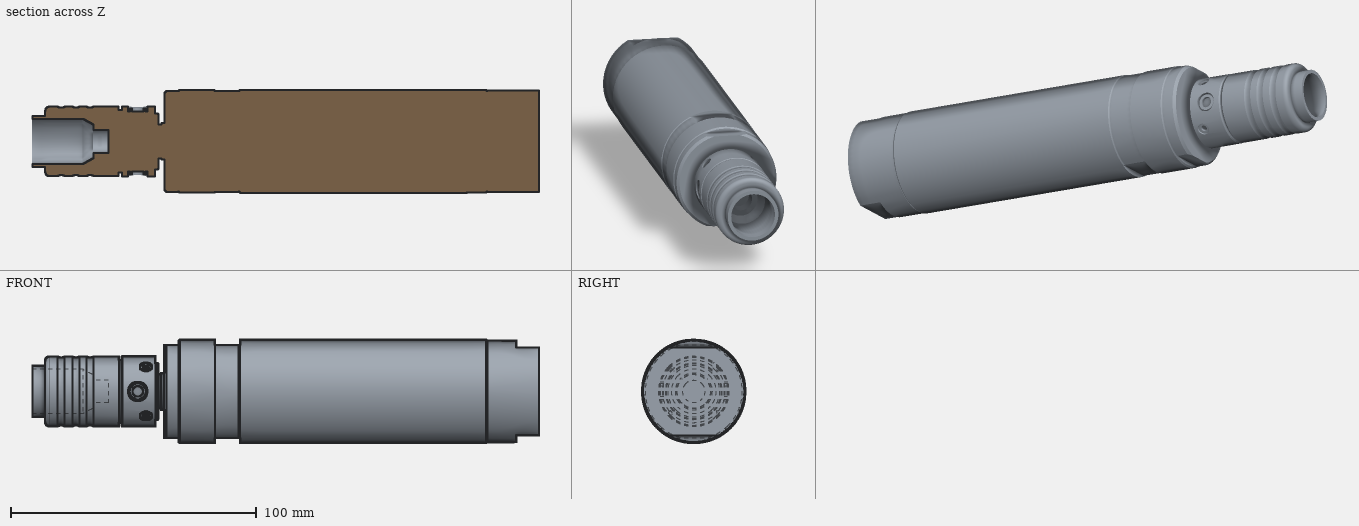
import cadquery as cq
import math

total_length = 206.2

nose_diameter = 21.0
nose_length = 5.2
sleeve_diameter = 28.5
sleeve_end = 35.3
sleeve_round = 1.9
grip_groove_starts = [10.3, 16.3, 22.0]
grip_groove_width = 2.9
grip_groove_depth = 0.5
cut_margin = 2.0
gap_diameter = 25.5
collar_start = 36.3
collar_diameter = 28.7
collar_chamfer = 0.5
collar_end = 50.1
disc_diameter = 23.0
disc_end = 51.3
neck_diameter = 14.0
neck_end = 52.4
shoulder_diameter = 15.0

bore_diameter = 18.1
bore_depth = 24.7
cone_depth = 4.1
cone_end_diameter = 13.6
pin_hole_diameter = 9.0
pin_hole_depth = 6.2

side_screw_x = 42.9
side_screw_hole = 7.8
side_screw_head_diameter = 6.5
side_screw_socket = 4.3
diagonal_screw_x = 46.2
diagonal_screw_diameter = 5.0
diagonal_screw_socket = 2.5
screw_sink = 0.8
socket_depth = 2.0

body_diameter = 42.0
flange_diameter = 41.5
edge_chamfer = 0.6
flange_chamfer = 1.0
body_start = 53.6
front_band_start = 59.4
front_flat_start = 74.2
front_flat_end = 84.5
barrel_start = front_flat_end - edge_chamfer
rear_band_end = 185.2
rear_flat_start = 197.0
front_flat_width = 38.0
rear_flat_width = 35.9


def cylinder(start, end, diameter):
    """Solid cylinder along X between two stations."""
    return cq.Workplane("YZ", origin=(start, 0, 0)).circle(diameter / 2).extrude(end - start)


def plug():
    nose = cylinder(0, nose_length, nose_diameter)
    sleeve = cylinder(nose_length, sleeve_end, sleeve_diameter).faces("<X").edges().fillet(sleeve_round)
    gap = cylinder(sleeve_end, collar_start, gap_diameter)
    collar = cylinder(collar_start, collar_end, collar_diameter).faces("<X").chamfer(collar_chamfer)
    disc = cylinder(collar_end, disc_end, disc_diameter).faces(">X").chamfer(collar_chamfer)
    neck = cylinder(disc_end, neck_end, neck_diameter)
    shoulder = cylinder(neck_end, body_start, shoulder_diameter)
    return nose.union(sleeve).union(gap).union(collar).union(disc).union(neck).union(shoulder)


def grip_groove(start):
    """Ring with an arc-shaped section that hollows the sleeve surface."""
    radius = sleeve_diameter / 2
    end = start + grip_groove_width
    middle = (start + end) / 2
    return (
        cq.Workplane("XY")
        .moveTo(start, radius)
        .threePointArc((middle, radius - grip_groove_depth), (end, radius))
        .lineTo(end, radius + cut_margin)
        .lineTo(start, radius + cut_margin)
        .close()
        .revolve(360, (0, 0, 0), (1, 0, 0))
    )


def plug_socket():
    """Bore with a tapered floor and a small centre hole."""
    cone_start = bore_depth - cone_depth
    pin_end = bore_depth + pin_hole_depth
    return (
        cq.Workplane("XY")
        .polyline([
            (0, 0),
            (0, bore_diameter / 2),
            (cone_start, bore_diameter / 2),
            (bore_depth, cone_end_diameter / 2),
            (bore_depth, pin_hole_diameter / 2),
            (pin_end, pin_hole_diameter / 2),
            (pin_end, 0),
        ])
        .close()
        .revolve(360, (0, 0, 0), (1, 0, 0))
    )


def screw_recess(x, angle, diameter, depth):
    """Radial cut in the collar; an angle of 0 points along +Y, 90 along +Z."""
    outward = cq.Vector(0, math.cos(math.radians(angle)), math.sin(math.radians(angle)))
    floor = collar_diameter / 2 - depth
    origin = cq.Vector(x, 0, 0) + outward * floor
    plane = cq.Plane(origin=origin, xDir=(1, 0, 0), normal=outward)
    return cq.Workplane(plane).circle(diameter / 2).extrude(depth + cut_margin)


def side_screw_head(angle):
    """Flat-topped screw end standing in its hole."""
    column = screw_recess(side_screw_x, angle, side_screw_head_diameter, socket_depth)
    return column.cut(screw_recess(side_screw_x, angle, side_screw_hole, screw_sink))


def flats(start, end, width):
    """Pair of blocks that cut flats on the +Z and -Z sides."""
    height = body_diameter
    blocks = cq.Workplane("XY")
    for side in (1, -1):
        z = side * (width + height) / 2
        block = cq.Workplane("XY").box(end - start, 2 * height, height)
        blocks = blocks.add(block.translate(((start + end) / 2, 0, z)))
    return blocks.combine()


def body():
    flange = cylinder(body_start, front_band_start, flange_diameter).faces("<X").chamfer(flange_chamfer)
    front_band = cylinder(front_band_start, front_flat_start, body_diameter).faces("<X").chamfer(edge_chamfer)
    waist = cylinder(front_flat_start, barrel_start, flange_diameter)
    barrel = (
        cylinder(barrel_start, rear_band_end, body_diameter)
        .faces("<X or >X").chamfer(edge_chamfer)
    )
    tail = cylinder(rear_band_end, total_length, flange_diameter)
    shape = flange.union(front_band).union(waist).union(barrel).union(tail)
    shape = shape.cut(flats(body_start, front_band_start, front_flat_width))
    shape = shape.cut(flats(front_flat_start, front_flat_end, front_flat_width))
    return shape.cut(flats(rear_flat_start, total_length, rear_flat_width))


result = plug().union(body()).cut(plug_socket())

for groove_start in grip_groove_starts:
    result = result.cut(grip_groove(groove_start))

for screw_angle in (0, 180):
    result = result.cut(screw_recess(side_screw_x, screw_angle, side_screw_hole, socket_depth))
    result = result.union(side_screw_head(screw_angle))
    result = result.cut(screw_recess(side_screw_x, screw_angle, side_screw_socket, socket_depth))

for screw_angle in (45, 135, 225, 315):
    result = result.cut(screw_recess(diagonal_screw_x, screw_angle, diagonal_screw_diameter, screw_sink))
    result = result.cut(screw_recess(diagonal_screw_x, screw_angle, diagonal_screw_socket, socket_depth))